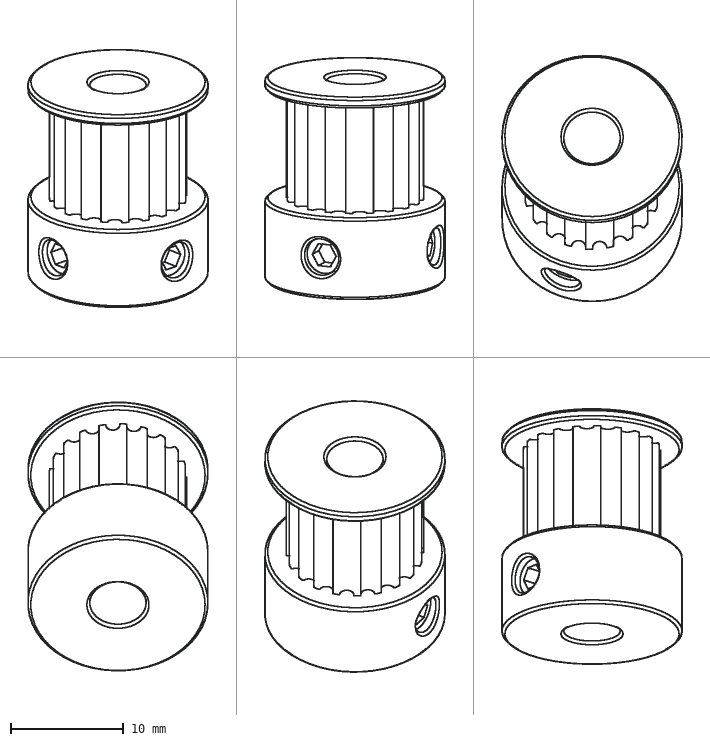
import cadquery as cq
import math

total_height = 18.45
outer_diameter = 16.0
hub_height = 7.45
flange_height = 1.0
bore_diameter = 5.0
edge_chamfer = 0.25

tooth_count = 20
tip_radius = 6.1
groove_depth = 0.74
root_radius = 0.63
flank_radius = 1.0
tip_rounding = 0.07

screw_diameter = 3.3
screw_head_depth = 1.0
hex_across_flats = 2.0
hex_depth = 1.48
screw_angles = (-90, 0)

outer_radius = outer_diameter / 2
tooth_height = total_height - hub_height - flange_height
screw_z = hub_height / 2


def groove_cutter():
    """One belt groove opening along +X, as tall as the teeth."""
    groove_bottom = tip_radius - groove_depth
    root_centre_depth = groove_depth - root_radius

    flank_centre_offset = math.sqrt((flank_radius - root_radius) ** 2 - root_centre_depth**2)
    mouth_half_width = flank_radius - flank_centre_offset

    def flank_point(angle):
        """Point of the +Y flank, at an angle around its centre below the tip level."""
        x = tip_radius - flank_radius * math.sin(angle)
        y = flank_radius * math.cos(angle) - flank_centre_offset
        return x, y

    root_start_angle = math.atan2(root_centre_depth, flank_centre_offset)
    root_x, root_y = flank_point(root_start_angle)
    flank_x, flank_y = flank_point(root_start_angle / 2)

    return (
        cq.Workplane("XY")
        .workplane(offset=hub_height)
        .moveTo(outer_radius, -mouth_half_width)
        .lineTo(tip_radius, -mouth_half_width)
        .threePointArc((flank_x, -flank_y), (root_x, -root_y))
        .threePointArc((groove_bottom, 0), (root_x, root_y))
        .threePointArc((flank_x, flank_y), (tip_radius, mouth_half_width))
        .lineTo(outer_radius, mouth_half_width)
        .close()
        .extrude(tooth_height)
    )


def toothed_section():
    """Toothed drum between hub and flange, with a tooth centred on +X."""
    drum = cq.Workplane("XY").workplane(offset=hub_height).circle(tip_radius).extrude(tooth_height)
    tooth_pitch = 360 / tooth_count
    groove = groove_cutter()
    for index in range(tooth_count):
        groove_angle = (index + 0.5) * tooth_pitch
        drum = drum.cut(groove.rotate((0, 0, 0), (0, 0, 1), groove_angle))

    tooth_corners = drum.edges("|Z").filter(
        lambda edge: math.hypot(edge.Center().x, edge.Center().y) > tip_radius - tip_rounding / 2
    )
    return drum.newObject(tooth_corners.vals()).fillet(tip_rounding)


def disc(bottom_z, height):
    """Full-diameter disc with both rims chamfered."""
    return (
        cq.Workplane("XY")
        .workplane(offset=bottom_z)
        .circle(outer_radius)
        .extrude(height)
        .faces("<Z or >Z")
        .edges()
        .chamfer(edge_chamfer)
    )


def screw_plane(angle, distance):
    """Workplane facing outwards at a distance from the axis, at screw height."""
    outward = cq.Vector(math.cos(math.radians(angle)), math.sin(math.radians(angle)), 0)
    origin = outward * distance + cq.Vector(0, 0, screw_z)
    return cq.Workplane(cq.Plane(origin, xDir=outward.cross(cq.Vector(0, 0, -1)), normal=outward))


def add_screw_holes(hub):
    """Sink a chamfered hole, closed by a socket screw, at each screw angle."""
    head_distance = outer_radius - screw_head_depth
    for angle in screw_angles:
        hole = screw_plane(angle, head_distance).circle(screw_diameter / 2).extrude(outer_radius)
        hub = hub.cut(hole)

    hole_rims = hub.edges("not(%CIRCLE or %LINE)")
    hub = hub.newObject(hole_rims.vals()).chamfer(edge_chamfer)

    hex_across_corners = hex_across_flats / math.cos(math.pi / 6)
    for angle in screw_angles:
        socket = screw_plane(angle, head_distance).polygon(6, hex_across_corners).extrude(-hex_depth)
        hub = hub.cut(socket)
    return hub


def bore():
    """Through bore with a chamfer at both ends."""
    half_profile = [
        (0, 0),
        (bore_diameter / 2 + edge_chamfer, 0),
        (bore_diameter / 2, edge_chamfer),
        (bore_diameter / 2, total_height - edge_chamfer),
        (bore_diameter / 2 + edge_chamfer, total_height),
        (0, total_height),
    ]
    return cq.Workplane("XZ").polyline(half_profile).close().revolve(360, (0, 0), (0, 1))


hub = add_screw_holes(disc(0, hub_height))
flange = disc(total_height - flange_height, flange_height)
result = hub.union(toothed_section()).union(flange).cut(bore())